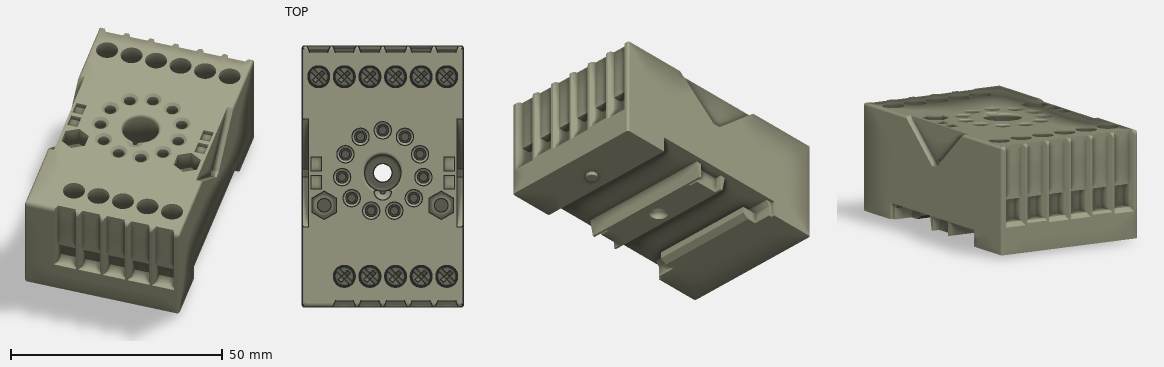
import cadquery as cq
import math

WIDTH = 38.1
LENGTH = 61.8
HEIGHT = 26.1
END_EDGE_RADIUS = 1.0
SIDE_EDGE_RADIUS = 0.6
BACK, FRONT = 1, -1

TERMINAL_PITCH = 6.05
TERMINAL_ROW_Y = 23.6
SCREW_BORE_DIAMETER = 5.2
SCREW_BORE_DEPTH = 7.4
HEAD_DIAMETER = 4.8
HEAD_TOP_DIAMETER = 4.4
HEAD_HEIGHT = 1.85
DRIVE_WIDTH = 1.0
DRIVE_DEPTH = 0.85
DRIVE_CENTRE_DEPTH = 1.1
DRIVE_REACH = 1.55

SLOT_MOUTH_WIDTH = 5.5
SLOT_BACK_WIDTH = 4.25
SLOT_DEPTH = 1.5
SLOT_FLOOR_Z = 7.6
WIRE_POCKET_TOP_Z = 13.05
WIRE_POCKET_DEPTH = 2.4
LIP_RUN = 1.0
SHORT_LIP_RUN = 0.55
SHORT_LIP_SLOTS = (1, 4)

GUIDE_Y = 0.85
PIN_COUNT = 11
PIN_CIRCLE_Y = 1.25
PIN_CIRCLE_RADIUS = 9.7
PIN_MOUTH_DIAMETER = 4.1
PIN_MOUTH_DEPTH = 0.5
PIN_BORE_DIAMETER = 2.8
PIN_BORE_DEPTH = 7.4
PIN_TIP_DIAMETER = 2.0
PIN_TIP_DEPTH = 8.65
GUIDE_DIAMETER = 8.6
GUIDE_RIM_RADIUS = 0.7
GUIDE_DEPTH = 12.35
GUIDE_FLOOR_RADIUS = 0.8
THROUGH_DIAMETER = 4.4
KEY_OFFSET = 4.4
KEY_DIAMETER = 1.25
KEY_MOUTH_DEPTH = 0.75
KEY_DEPTH = 11.1

NUT_X = 13.85
NUT_Y = -6.8
NUT_CORNER_DIAMETER = 6.7
NUT_DEPTH = 4.95
NUT_BORE_DIAMETER = 3.2
NUT_BORE_DEPTH = 8.65
WINDOW_X = 15.7
WINDOW_WIDTH = 2.55
WINDOW_LENGTH = 3.3
WINDOW_DEPTH = 1.25
WINDOW_Y_POSITIONS = (2.95, -1.35)

CLIP_Y = 0.85
CLIP_TOP_WIDTH = 25.6
CLIP_BOTTOM_WIDTH = 1.9
CLIP_HEIGHT = 9.9
CLIP_DEPTH = 1.5
CLIP_HOLE_DIAMETER = 1.6
CLIP_HOLE_DEPTH = 1.0

RAIL_WIDTH = 37.3
RAIL_HEIGHT = 4.0
RIB_HALF_LENGTH = 17.6
RIB_ROOT_Y = (6.1, -3.4)
RIB_TIP_Y = (5.2, -2.55)
RIB_INNER_Y = (4.65, -2.0)
CORE_BACK_Y = 4.2
CORE_HALF_LENGTH = 15.8
GAP_FILLER_HALF_LENGTH = 13.6
HOOK_HALF_LENGTH = 13.6
HOOK_PLATE_HALF_LENGTH = 18.25
HOOK_PLATE_THICKNESS = 0.85
HOOK_TIP_Y = -13.8
HOOK_TOP_Z = 2.7
HOOK_BEVEL_RUN = 1.6
HOOK_BEVEL_RISE = 1.05
GUSSET_RUN = 0.9
NUB_REACH = 0.2
NUB_BOTTOM_Z = 2.0
PEG_DIAMETER = 2.8
PEG_HEIGHT = 0.9

COLUMN_COUNT = 6
COLUMN_X = [(i - (COLUMN_COUNT - 1) / 2) * TERMINAL_PITCH for i in range(COLUMN_COUNT)]
TERMINALS = {BACK: COLUMN_X, FRONT: COLUMN_X[1:]}


def sunk_cylinder(x, y, diameter, depth):
    """Cylinder reaching down from the top face."""
    bottom = cq.Workplane("XY", origin=(x, y, HEIGHT - depth))
    return bottom.circle(diameter / 2).extrude(depth)


def sunk_box(x, y, width, length, depth):
    """Box reaching down from the top face."""
    return cq.Workplane("XY", origin=(x, y, HEIGHT - depth)).rect(width, length).extrude(depth)


def along_x(points, half_length):
    """Prism with a (y, z) outline, centred on x = 0."""
    return cq.Workplane("YZ").polyline(points).close().extrude(half_length, both=True)


def make_body():
    """Block with rounded corners, and separately rounded top edges that meet in mitres."""
    block = cq.Workplane("XY").box(WIDTH, LENGTH, HEIGHT, centered=(True, True, False))
    rounded_corners = block.edges("|Z").fillet(SIDE_EDGE_RADIUS)
    rounded_ends = block.faces(">Z").edges("|X").fillet(END_EDGE_RADIUS)
    rounded_sides = block.faces(">Z").edges("|Y").fillet(SIDE_EDGE_RADIUS)
    return rounded_corners.intersect(rounded_ends).intersect(rounded_sides)


def make_screw_drive():
    """Cross recess cut down from z = 0: a slot, two ramped cross arms and a deeper square centre."""
    half = DRIVE_WIDTH / 2
    slot = cq.Workplane("XY").rect(HEAD_DIAMETER, DRIVE_WIDTH).extrude(-DRIVE_DEPTH)
    centre = cq.Workplane("XY").rect(DRIVE_WIDTH, DRIVE_WIDTH).extrude(-DRIVE_CENTRE_DEPTH)
    ramps = along_x([(-half, -DRIVE_DEPTH), (half, -DRIVE_DEPTH), (DRIVE_REACH, 0), (-DRIVE_REACH, 0)], half)
    return slot.union(ramps).union(centre).rotate((0, 0, 0), (0, 0, 1), -45)


def make_screw_head():
    """Screw head standing on z = 0."""
    bevel = (HEAD_DIAMETER - HEAD_TOP_DIAMETER) / 2
    head = cq.Workplane("XY").circle(HEAD_DIAMETER / 2).extrude(HEAD_HEIGHT)
    head = head.faces(">Z").chamfer(bevel)
    return head.cut(make_screw_drive().translate((0, 0, HEAD_HEIGHT)))


def slot_prism(x, end, bottom_z):
    """Tapered prism, widest at the end face, from bottom_z up to the top face."""
    face_y = end * LENGTH / 2
    back_y = face_y - end * SLOT_DEPTH
    mouth = SLOT_MOUTH_WIDTH / 2
    back = SLOT_BACK_WIDTH / 2
    return (
        cq.Workplane("XY", origin=(x, 0, bottom_z))
        .polyline([(-mouth, face_y), (mouth, face_y), (back, back_y), (-back, back_y)])
        .close()
        .extrude(HEIGHT - bottom_z)
    )


def wire_slot(x, end):
    """Tapered slot in an end face with a deeper wire pocket at its foot."""
    pocket_y = end * (LENGTH / 2 - SLOT_DEPTH - WIRE_POCKET_DEPTH / 2)
    pocket = (
        cq.Workplane("XY", origin=(x, pocket_y, SLOT_FLOOR_Z))
        .rect(SLOT_BACK_WIDTH, WIRE_POCKET_DEPTH)
        .extrude(WIRE_POCKET_TOP_Z - SLOT_FLOOR_Z)
    )
    return slot_prism(x, end, SLOT_FLOOR_Z).union(pocket)


def slot_lip(x, run):
    """45 degree wedge, as wide as the slot, that bevels the outer edge of a back slot floor."""
    face_y = LENGTH / 2
    lip_z = SLOT_FLOOR_Z - run
    wedge = along_x([(face_y, SLOT_FLOOR_Z), (face_y - run, SLOT_FLOOR_Z), (face_y, lip_z)], WIDTH)
    return slot_prism(x, BACK, lip_z).intersect(wedge)


def cut_terminals(body):
    """Screw bores with their heads, and the wire slots that serve them."""
    head = make_screw_head()
    for end, columns in TERMINALS.items():
        for x in columns:
            y = end * TERMINAL_ROW_Y
            body = body.cut(sunk_cylinder(x, y, SCREW_BORE_DIAMETER, SCREW_BORE_DEPTH))
            body = body.union(head.translate((x, y, HEIGHT - SCREW_BORE_DEPTH)))
            body = body.cut(wire_slot(x, end))
    for index, x in enumerate(COLUMN_X):
        run = SHORT_LIP_RUN if index in SHORT_LIP_SLOTS else LIP_RUN
        body = body.cut(slot_lip(x, run))
    return body


def sunk_cone(x, y, bottom_diameter, depth):
    """Cone narrowing downward from a pin-sized mouth in the top face."""
    return (
        cq.Workplane("XY", origin=(x, y, HEIGHT))
        .circle(PIN_MOUTH_DIAMETER / 2)
        .workplane(offset=-depth)
        .circle(bottom_diameter / 2)
        .loft()
    )


def cut_guide_bore(body):
    """Round-floored guide bore with a rounded rim and a flared keyway at its front edge."""
    bore = sunk_cylinder(0, GUIDE_Y, GUIDE_DIAMETER, GUIDE_DEPTH)
    body = body.cut(bore.faces("<Z").edges().fillet(GUIDE_FLOOR_RADIUS))
    body = body.faces(">Z").edges("%CIRCLE").fillet(GUIDE_RIM_RADIUS)
    key_y = GUIDE_Y - KEY_OFFSET
    body = body.cut(sunk_cone(0, key_y, KEY_DIAMETER, KEY_MOUTH_DEPTH))
    return body.cut(sunk_cylinder(0, key_y, KEY_DIAMETER, KEY_DEPTH))


def cut_pin_holes(body):
    """Ring of countersunk, stepped pin holes starting at the +Y side."""
    for i in range(PIN_COUNT):
        angle = 2 * math.pi * i / PIN_COUNT
        x = PIN_CIRCLE_RADIUS * math.sin(angle)
        y = PIN_CIRCLE_Y + PIN_CIRCLE_RADIUS * math.cos(angle)
        body = body.cut(sunk_cone(x, y, PIN_BORE_DIAMETER, PIN_MOUTH_DEPTH))
        body = body.cut(sunk_cylinder(x, y, PIN_BORE_DIAMETER, PIN_BORE_DEPTH))
        body = body.cut(sunk_cylinder(x, y, PIN_TIP_DIAMETER, PIN_TIP_DEPTH))
    return body


def nut_well(x):
    """Hexagonal well with corners toward +Y and -Y, and a screw bore below it."""
    hexagon = (
        cq.Workplane("XY", origin=(x, NUT_Y, HEIGHT - NUT_DEPTH))
        .transformed(rotate=(0, 0, 90))
        .polygon(6, NUT_CORNER_DIAMETER)
        .extrude(NUT_DEPTH)
    )
    return hexagon.union(sunk_cylinder(x, NUT_Y, NUT_BORE_DIAMETER, NUT_BORE_DEPTH))


def clip_recess(side):
    """V-shaped recess in a side face with a round-topped locating hole at its foot."""
    inner_x = side * (WIDTH / 2 - CLIP_DEPTH)
    bottom_z = HEIGHT - CLIP_HEIGHT
    top = CLIP_TOP_WIDTH / 2
    bottom = CLIP_BOTTOM_WIDTH / 2
    wall = cq.Workplane("YZ", origin=(inner_x, CLIP_Y, 0))
    recess = (
        wall.polyline([(-top, HEIGHT), (-bottom, bottom_z), (bottom, bottom_z), (top, HEIGHT)])
        .close()
        .extrude(side * CLIP_DEPTH)
    )
    radius = CLIP_HOLE_DIAMETER / 2
    hole = (
        wall.moveTo(-radius, bottom_z)
        .lineTo(radius, bottom_z)
        .lineTo(radius, bottom_z + radius)
        .threePointArc((0, bottom_z + 2 * radius), (-radius, bottom_z + radius))
        .close()
        .extrude(-side * CLIP_HOLE_DEPTH)
    )
    return recess.union(hole)


def cut_side_features(body):
    """Nut wells, clip recesses and marker windows on the left and right."""
    for side in (-1, 1):
        body = body.cut(nut_well(side * NUT_X))
        body = body.cut(clip_recess(side))
        for y in WINDOW_Y_POSITIONS:
            body = body.cut(sunk_box(side * WINDOW_X, y, WINDOW_WIDTH, WINDOW_LENGTH, WINDOW_DEPTH))
    return body


def cut_rail_channel(body):
    """Rectangular channel along X across the underside."""
    channel = cq.Workplane("XY").box(WIDTH, RAIL_WIDTH, RAIL_HEIGHT, centered=(True, True, False))
    return body.cut(channel)


def rail_bar(back_y, front_y, bottom_z, top_z, half_length):
    """Rectangular bar along X inside the rail channel."""
    corners = [(back_y, bottom_z), (back_y, top_z), (front_y, top_z), (front_y, bottom_z)]
    return along_x(corners, half_length)


def add_rail_foot(body):
    """Two tapered ribs joined by a shorter core, with a still shorter filler behind the core."""
    rear, front = RIB_INNER_Y
    for root, tip, inner in zip(RIB_ROOT_Y, RIB_TIP_Y, RIB_INNER_Y):
        rib = [(root, RAIL_HEIGHT), (tip, 0), (inner, 0), (inner, RAIL_HEIGHT)]
        body = body.union(along_x(rib, RIB_HALF_LENGTH))
    body = body.union(rail_bar(CORE_BACK_Y, front, 0, RAIL_HEIGHT, CORE_HALF_LENGTH))
    return body.union(rail_bar(rear, CORE_BACK_Y, 0, RAIL_HEIGHT, GAP_FILLER_HALF_LENGTH))


def add_rail_hook(body):
    """Gusseted plate and bevelled hook on the front wall of the channel."""
    wall_y = -RAIL_WIDTH / 2
    plate_y = wall_y + HOOK_PLATE_THICKNESS
    plate = [
        (wall_y, 0),
        (plate_y, 0),
        (plate_y, HOOK_TOP_Z),
        (plate_y + GUSSET_RUN, RAIL_HEIGHT),
        (wall_y, RAIL_HEIGHT),
    ]
    hook = [
        (plate_y, 0),
        (HOOK_TIP_Y - HOOK_BEVEL_RUN, 0),
        (HOOK_TIP_Y, HOOK_BEVEL_RISE),
        (HOOK_TIP_Y, HOOK_TOP_Z),
        (plate_y, HOOK_TOP_Z),
    ]
    body = body.union(along_x(plate, HOOK_PLATE_HALF_LENGTH))
    return body.union(along_x(hook, HOOK_HALF_LENGTH))


def add_rail_nub(body):
    """Thin ridge on the back wall of the channel, level with the top of the hook."""
    wall_y = RAIL_WIDTH / 2
    nub = rail_bar(wall_y, wall_y - NUB_REACH, NUB_BOTTOM_Z, HOOK_TOP_Z, HOOK_HALF_LENGTH)
    return body.union(nub)


def add_peg(body):
    """Short round peg under the back end."""
    peg = cq.Workplane("XY", origin=(0, TERMINAL_ROW_Y, 0)).circle(PEG_DIAMETER / 2).extrude(-PEG_HEIGHT)
    return body.union(peg)


result = make_body()
result = cut_guide_bore(result)
result = cut_pin_holes(result)
result = cut_terminals(result)
result = cut_side_features(result)
result = cut_rail_channel(result)
result = add_rail_foot(result)
result = add_rail_hook(result)
result = add_rail_nub(result)
result = result.cut(sunk_cylinder(0, GUIDE_Y, THROUGH_DIAMETER, HEIGHT))
result = add_peg(result)